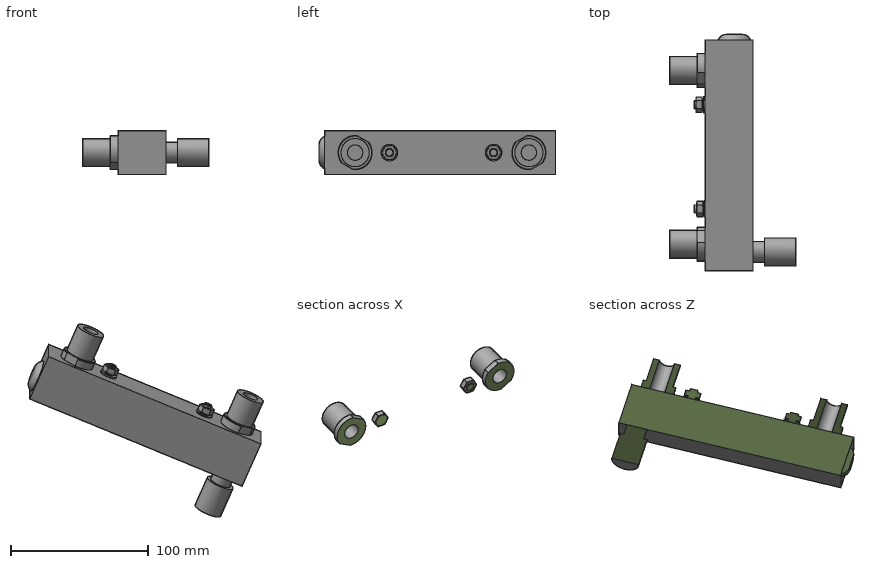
import cadquery as cq
import math

overall_width = 91.5
overall_length = 171.7
block_width = 34.9
block_length = 167.5
block_height = 32.0

fitting_positions = (19.4, 145.5)
fitting_flat_tilts = (30, -30)
fitting_length = 25.8
fitting_diameter = 20.5
fitting_bore_diameter = 11.2
collar_length = 6.0
collar_diameter = 24.7
collar_chamfer_length = 0.5
collar_chamfer_width = 0.3
collar_across_flats = 22.7

stud_layout = ((45.0, 0.7, 0), (120.5, 1.2, 2))
stud_length = 8.2
stud_diameter = 6.0
stud_tip_diameter = 5.0
washer_diameter = 12.0
nut_gap = 0.9
nut_thickness = 4.6
nut_across_flats = 10.0
nut_face_diameter = 9.3
nut_chamfer_angle = 15

valve_position = 13.7
stem_diameter = 15.3
stem_length = 8.0
knob_diameter = 20.5
valve_length = overall_width - block_width - fitting_length

plug_x = 21.1
plug_base_radius = 11.8
plug_flat_radius = 5.7
plug_height = overall_length - block_length


def left_plane(y, distance=0):
    """Plane at a distance in front of the left face, facing -X, with its local x along -Y."""
    return cq.Plane(origin=(-distance, y, 0), xDir=(0, -1, 0), normal=(-1, 0, 0))


def make_block():
    return cq.Workplane("XY").box(block_width, block_length, block_height, centered=(False, False, True))


def make_fitting(y, flat_tilt):
    """Round fitting with a bored spigot and a collar that has two opposite wrench flats."""
    face = cq.Workplane(left_plane(y))
    collar = face.circle(collar_diameter / 2).extrude(collar_length)
    collar = collar.faces("<X").chamfer(collar_chamfer_length, collar_chamfer_width)
    flats = face.transformed(rotate=(0, 0, flat_tilt)).rect(collar_diameter, collar_across_flats)
    collar = collar.intersect(flats.extrude(collar_length))
    spigot = face.circle(fitting_diameter / 2).extrude(fitting_length)
    bore = face.circle(fitting_bore_diameter / 2).extrude(fitting_length)
    return collar.union(spigot).cut(bore)


def make_nut(y, distance, turn):
    """Hex nut with its corners chamfered on both faces."""
    corner_radius = nut_across_flats / math.sqrt(3)
    chamfer_width = corner_radius - nut_face_diameter / 2
    chamfer_depth = chamfer_width * math.tan(math.radians(nut_chamfer_angle))
    face = cq.Workplane(left_plane(y, distance)).transformed(rotate=(0, 0, turn))
    hexagon = face.polygon(6, 2 * corner_radius).extrude(nut_thickness)
    envelope = face.circle(corner_radius).extrude(nut_thickness)
    envelope = envelope.faces("<X").chamfer(chamfer_depth, chamfer_width)
    envelope = envelope.faces(">X").chamfer(chamfer_depth, chamfer_width)
    return hexagon.intersect(envelope)


def make_stud(y, washer_thickness, nut_turn):
    """Chamfered stud carrying a washer against the block and a hex nut."""
    face = cq.Workplane(left_plane(y))
    stud = face.circle(stud_diameter / 2).extrude(stud_length)
    stud = stud.faces("<X").chamfer((stud_diameter - stud_tip_diameter) / 2)
    washer = face.circle(washer_diameter / 2).extrude(washer_thickness)
    nut = make_nut(y, washer_thickness + nut_gap, nut_turn)
    return stud.union(washer).union(nut)


def make_valve():
    """Narrow stem with a wider cylindrical knob."""
    face = cq.Workplane("YZ", origin=(block_width, 0, 0)).center(valve_position, 0)
    stem = face.circle(stem_diameter / 2).extrude(stem_length)
    knob = face.workplane(offset=stem_length).circle(knob_diameter / 2).extrude(valve_length - stem_length)
    return stem.union(knob)


def make_plug():
    """Flat-topped dome; its rounded edge is an arc tangent to the flat top."""
    edge_width = plug_base_radius - plug_flat_radius
    edge_radius = (edge_width**2 + plug_height**2) / (2 * plug_height)
    half_angle = math.asin(edge_width / edge_radius) / 2
    arc_middle = (
        plug_flat_radius + edge_radius * math.sin(half_angle),
        plug_height - edge_radius * (1 - math.cos(half_angle)),
    )
    profile = (
        cq.Workplane("XY", origin=(plug_x, block_length, 0))
        .lineTo(plug_base_radius, 0)
        .threePointArc(arc_middle, (plug_flat_radius, plug_height))
        .lineTo(0, plug_height)
        .close()
    )
    return profile.revolve(360, (0, 0), (0, 1))


block = make_block()
fittings = [make_fitting(y, tilt) for y, tilt in zip(fitting_positions, fitting_flat_tilts)]
studs = [make_stud(*layout) for layout in stud_layout]
valve = make_valve()
plug = make_plug()

result = cq.Compound.makeCompound(
    [
        block.val(),
        *[fitting.val() for fitting in fittings],
        *[stud.val() for stud in studs],
        valve.val(),
        plug.val(),
    ]
)